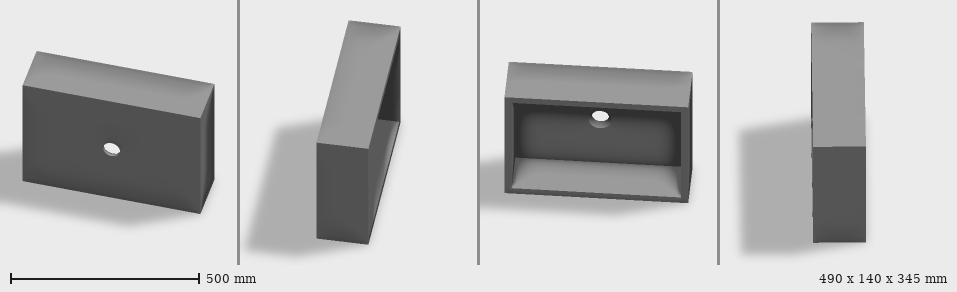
import cadquery as cq

length = 490.0
depth = 140.0
height = 345.0

bore_diameter = 46.0
bore_depth = 9.5
flare_depth = 10.0
flare_slope = 0.8
wall = bore_depth + flare_depth

front_y = -depth / 2


def open_box():
    """Box of even wall thickness, open on the +Y side."""
    return cq.Workplane("XY").box(length, depth, height).faces(">Y").shell(-wall)


def flared_opening():
    """Solid of the opening, revolved about the Y axis through the wall centre."""
    bore_radius = bore_diameter / 2
    flare_radius = bore_radius + flare_slope * flare_depth
    bore_end_y = front_y + bore_depth
    wall_back_y = front_y + wall
    return (
        cq.Workplane("XY")
        .moveTo(0, front_y)
        .lineTo(bore_radius, front_y)
        .lineTo(bore_radius, bore_end_y)
        .lineTo(flare_radius, wall_back_y)
        .lineTo(0, wall_back_y)
        .close()
        .revolve(360, (0, 0, 0), (0, 1, 0))
    )


result = open_box().cut(flared_opening())